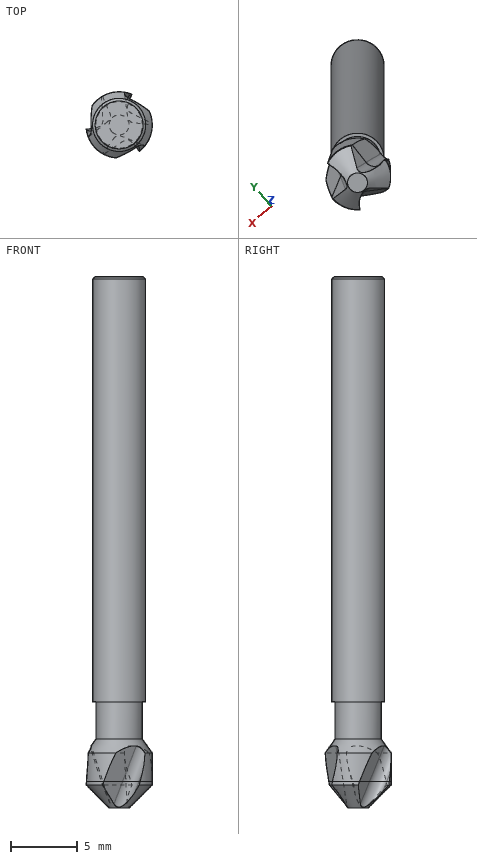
import cadquery as cq
import math

TOTAL_LENGTH = 40.0
SHANK_DIAMETER = 4.0
SHANK_CHAMFER = 0.2
SHANK_BOTTOM_Z = 8.0
NECK_DIAMETER = 3.5
NECK_BOTTOM_Z = 5.2
HEAD_DIAMETER = 5.0
HEAD_TOP_Z = 4.15
TIP_DIAMETER = 1.5
POINT_ANGLE = 90.0

POINT_LENGTH = 2.0

FLUTE_COUNT = 3
FIRST_FLUTE_ANGLE = 184.0
FLUTE_TIP_DEPTH = 0.5
FLUTE_SLOPE = 19.0
FLUTE_LEAN = 13.0
FLUTE_CORNER_OFFSET = 0.95
FLUTE_CORNER_RADIUS = 0.74
FLUTE_HOOK_ANGLE = 110.0
FLUTE_REACH = 8.0
FLUTE_SIZE = 6.0

shank_radius = SHANK_DIAMETER / 2
neck_radius = NECK_DIAMETER / 2
head_radius = HEAD_DIAMETER / 2
tip_radius = TIP_DIAMETER / 2
cone_height = (head_radius - tip_radius) / math.tan(math.radians(POINT_ANGLE / 2))


def revolve_profile(points):
    """Solid of revolution about Z from (radius, height) points."""
    return cq.Workplane("XZ").polyline(points).close().revolve(360, (0, 0), (0, 1))


def corner_point(turn):
    """Point (height above floor, sideways) on the round corner after the given turn in radians."""
    return (
        FLUTE_CORNER_RADIUS * (1 - math.cos(turn)),
        FLUTE_CORNER_RADIUS * math.sin(turn),
    )


def make_flute(angle):
    """Groove cutter whose floor faces away from the axis at the given angle about Z."""
    rise_out = math.tan(math.radians(FLUTE_SLOPE))
    rise_side = math.tan(math.radians(FLUTE_LEAN))
    run = cq.Vector(rise_out, rise_side, 1)
    floor_normal = cq.Vector(1, 0, -rise_out)
    start = cq.Vector(FLUTE_TIP_DEPTH, -FLUTE_CORNER_OFFSET, 0)
    plane = cq.Plane(origin=start, xDir=floor_normal, normal=run)
    hook = math.radians(FLUTE_HOOK_ANGLE)
    wall_end = corner_point(hook)
    wall_slope = math.cos(hook) / math.sin(hook)
    wall_top_side = wall_end[1] + (FLUTE_SIZE - wall_end[0]) * wall_slope
    groove = (
        cq.Workplane(plane)
        .moveTo(0, -FLUTE_SIZE)
        .lineTo(0, 0)
        .threePointArc(corner_point(hook / 2), wall_end)
        .lineTo(FLUTE_SIZE, wall_top_side)
        .lineTo(FLUTE_SIZE, -FLUTE_SIZE)
        .close()
        .extrude(FLUTE_REACH, both=True)
    )
    return groove.rotate((0, 0, 0), (0, 0, 1), angle)


def cut_flutes(body):
    """Cut the evenly spaced flutes into a body."""
    for index in range(FLUTE_COUNT):
        body = body.cut(make_flute(FIRST_FLUTE_ANGLE + index * 360 / FLUTE_COUNT))
    return body


def make_holder():
    """Chamfered shank, neck and the upper part of the fluted head."""
    blank = revolve_profile([
        (0, POINT_LENGTH),
        (head_radius, POINT_LENGTH),
        (head_radius, HEAD_TOP_Z),
        (neck_radius, NECK_BOTTOM_Z),
        (neck_radius, SHANK_BOTTOM_Z),
        (shank_radius, SHANK_BOTTOM_Z),
        (shank_radius, TOTAL_LENGTH - SHANK_CHAMFER),
        (shank_radius - SHANK_CHAMFER, TOTAL_LENGTH),
        (0, TOTAL_LENGTH),
    ])
    return cut_flutes(blank)


def make_cutting_point():
    """Fluted cone with a flat tip and a short cylindrical rim."""
    blank = revolve_profile([
        (0, 0),
        (tip_radius, 0),
        (head_radius, cone_height),
        (head_radius, POINT_LENGTH),
        (0, POINT_LENGTH),
    ])
    return cut_flutes(blank)


holder = make_holder()
cutting_point = make_cutting_point()

result = cq.Compound.makeCompound([holder.val(), cutting_point.val()])